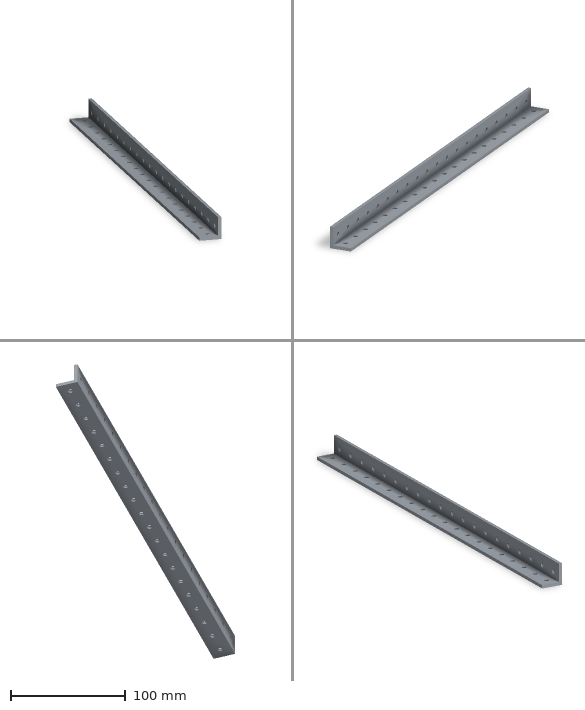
import cadquery as cq

length = 400.0
leg = 20.0
thickness = 3.0
hole_diameter = 4.5
hole_count = 20
hole_pitch = length / hole_count
hole_line = leg / 2


def angle_bar():
    """L section with the upright leg along the +Y edge of the flat leg."""
    flat_leg = cq.Workplane("XY").box(length, leg, thickness, centered=False)
    upright_leg = (
        cq.Workplane("XY")
        .box(length, thickness, leg, centered=False)
        .translate((0, leg - thickness, 0))
    )
    return flat_leg.union(upright_leg)


def hole_row(plane):
    """Row of hole cutters along X, reaching through both sides of the plane."""
    centres = [((i + 0.5) * hole_pitch, hole_line) for i in range(hole_count)]
    return (
        cq.Workplane(plane)
        .pushPoints(centres)
        .circle(hole_diameter / 2)
        .extrude(leg, both=True)
    )


result = angle_bar().cut(hole_row("XY")).cut(hole_row("XZ"))